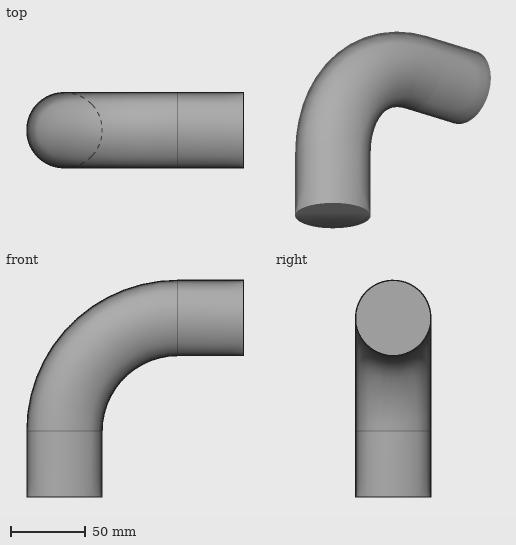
import cadquery as cq

outer_diameter = 50.8
straight_length = 44.45
bend_radius = 1.5 * outer_diameter
bend_angle = 90

bend_start_height = straight_length
upper_leg_height = bend_start_height + bend_radius


def round_leg(plane, origin):
    """Straight round leg that starts at origin, normal to the plane."""
    return cq.Workplane(plane, origin=origin).circle(outer_diameter / 2).extrude(straight_length)


def round_bend():
    """Quarter torus that turns the +Z direction into the +X direction."""
    section = cq.Workplane("XY", origin=(0, 0, bend_start_height)).circle(outer_diameter / 2)
    return section.revolve(bend_angle, (bend_radius, 0, 0), (bend_radius, 1, 0))


lower_leg = round_leg("XY", (0, 0, 0))
upper_leg = round_leg("YZ", (bend_radius, 0, upper_leg_height))
result = lower_leg.union(round_bend()).union(upper_leg)